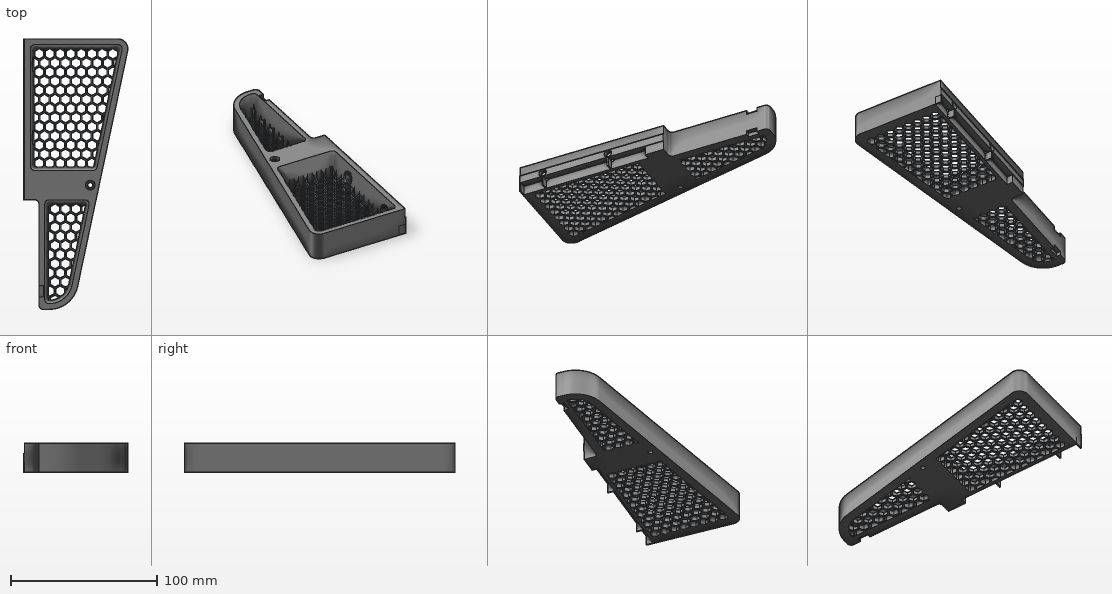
import cadquery as cq
import math

WIDTH = 71.37
LENGTH = 185.0
HEIGHT = 20.0

SIDE_STEP = 0.5
STEP_Y = 75.0
NECK_X = 10.5
SMALL_RADIUS = 3.0
NOSE_RADIUS = 20.0
REAR_RADIUS = 7.0
SLANT = math.radians(12)

RIM = 4.0
LEFT_RIM_X = 4.8
REAR_POCKET_Y = 95.0
FLOOR = 3.0
DRAFT = 12.0
POCKET_RADIUS = 3.0
FLOOR_RADIUS = 6.0
DRAFT_INSET = (HEIGHT - FLOOR) * math.tan(math.radians(DRAFT))

CELL_FLATS = 6.0
CELL_CORNER = CELL_FLATS / math.sqrt(3)
CELL_WALL = 1.2
CELL_MARGIN = 2.4
CELL_PITCH = CELL_FLATS + CELL_WALL
ROW_PITCH = CELL_PITCH * math.sqrt(3) / 2
CELL_ORIGIN = (17.9, 174.7)

BAND_BOTTOM = 7.0
BAND_TOP = 13.0
UNDERCUT_X = 5.0
UNDERCUT_FRONT_Y = 89.0
RIB_THICKNESS = 0.8

SIDE_HOLE_Y = (117.5, 167.5)
SIDE_HOLE_Z = (BAND_BOTTOM + BAND_TOP) / 2
SIDE_HOLE_DIAMETER = 5.5
SIDE_HEAD_DIAMETER = 10.0
SIDE_HEAD_X = 6.0
SIDE_HEAD_CLEARANCE = 3.0

SCREW_X = 45.6
SCREW_Y = 85.0
SCREW_DIAMETER = 3.4
HEAD_DIAMETER = 6.5
HEAD_DEPTH = 4.0

NOTCH_Y = (8.5, 16.5)
NOTCH_DEPTH = 3.2
NOTCH_HEIGHT = 3.0

REAR_CENTER = (WIDTH - REAR_RADIUS, LENGTH - REAR_RADIUS)


def slant_x(y, inset=0.0):
    """X of the right side at y, moved inward by inset."""
    reach = (REAR_RADIUS - inset) / math.cos(SLANT)
    return REAR_CENTER[0] + reach + (y - REAR_CENTER[1]) * math.tan(SLANT)


NOSE_CENTER = (slant_x(NOSE_RADIUS, NOSE_RADIUS), NOSE_RADIUS)


def polar(center, radius, angle):
    return (center[0] + radius * math.cos(angle), center[1] + radius * math.sin(angle))


def nose_arc(sketch, radius):
    """Adds the nose arc from the right side round to its lowest point."""
    middle = polar(NOSE_CENTER, radius, -(math.pi / 2 + SLANT) / 2)
    return sketch.threePointArc(middle, (NOSE_CENTER[0], NOSE_CENTER[1] - radius))


def make_body():
    sketch = (
        cq.Workplane()
        .moveTo(SIDE_STEP, STEP_Y)
        .lineTo(SIDE_STEP, LENGTH)
        .lineTo(REAR_CENTER[0], LENGTH)
        .threePointArc(
            polar(REAR_CENTER, REAR_RADIUS, (math.pi / 2 - SLANT) / 2),
            polar(REAR_CENTER, REAR_RADIUS, -SLANT),
        )
        .lineTo(*polar(NOSE_CENTER, NOSE_RADIUS, -SLANT))
    )
    body = (
        nose_arc(sketch, NOSE_RADIUS)
        .lineTo(NECK_X, 0)
        .lineTo(NECK_X, STEP_Y)
        .close()
        .extrude(HEIGHT)
    )
    corners = cq.selectors.BoxSelector(
        (NECK_X - 1, -1, 0), (NECK_X + 1, STEP_Y + 1, HEIGHT)
    )
    return body.edges("|Z").edges(corners).fillet(SMALL_RADIUS)


def rear_pocket_outline():
    rear_y = LENGTH - RIM
    return (
        cq.Workplane(origin=(0, 0, HEIGHT))
        .moveTo(LEFT_RIM_X, REAR_POCKET_Y)
        .lineTo(LEFT_RIM_X, rear_y)
        .lineTo(slant_x(rear_y, RIM), rear_y)
        .lineTo(slant_x(REAR_POCKET_Y, RIM), REAR_POCKET_Y)
        .close()
    )


def front_pocket_outline(left_x=NECK_X + RIM):
    radius = NOSE_RADIUS - RIM
    sketch = (
        cq.Workplane(origin=(0, 0, HEIGHT))
        .moveTo(left_x, STEP_Y)
        .lineTo(slant_x(STEP_Y, RIM), STEP_Y)
        .lineTo(*polar(NOSE_CENTER, radius, -SLANT))
    )
    return nose_arc(sketch, radius).lineTo(left_x, RIM).close()


def drafted(outline):
    """Solid from the rim down to the floor, narrowing by the draft."""
    return outline.extrude(FLOOR - HEIGHT, taper=DRAFT)


def with_round_corners(space, front_y, rear_y):
    """Rounds the upright corners at the front and rear ends of a drafted pocket."""
    low = FLOOR + 1
    high = HEIGHT - 1
    rear = cq.selectors.BoxSelector((0, rear_y - DRAFT_INSET, low), (WIDTH, rear_y, high))
    front = cq.selectors.BoxSelector((0, front_y, low), (WIDTH, front_y + DRAFT_INSET, high))
    return space.edges(rear + front).fillet(POCKET_RADIUS)


def with_round_floor(space):
    return space.faces("<Z").edges().fillet(FLOOR_RADIUS)


def rear_pocket():
    space = with_round_corners(drafted(rear_pocket_outline()), REAR_POCKET_Y, LENGTH - RIM)
    return space.intersect(with_round_floor(drafted(rear_pocket_outline())))


def front_pocket():
    """The left floor edge is rounded apart from the rest, since it nearly meets the nose arc."""
    space = with_round_corners(drafted(front_pocket_outline()), RIM, STEP_Y)
    nose_side = with_round_floor(drafted(front_pocket_outline(left_x=-WIDTH)))
    left_trough = (
        cq.Workplane(origin=(0, 0, HEIGHT))
        .moveTo(NECK_X + RIM, -LENGTH)
        .lineTo(2 * WIDTH, -LENGTH)
        .lineTo(2 * WIDTH, LENGTH)
        .lineTo(NECK_X + RIM, LENGTH)
        .close()
    )
    left_side = with_round_floor(drafted(left_trough))
    return space.intersect(nose_side).intersect(left_side)


def cell_centers(front_y, rear_y):
    """Centres of the staggered cells in the rows centred between front_y and rear_y."""
    first_row = math.ceil((front_y - CELL_ORIGIN[1]) / ROW_PITCH)
    last_row = math.floor((rear_y - CELL_ORIGIN[1]) / ROW_PITCH)
    first_column = -math.ceil(CELL_ORIGIN[0] / CELL_PITCH)
    last_column = math.ceil((WIDTH - CELL_ORIGIN[0]) / CELL_PITCH)
    for row in range(first_row, last_row + 1):
        stagger = row % 2 / 2
        for column in range(first_column, last_column + 1):
            x = CELL_ORIGIN[0] + (column + stagger) * CELL_PITCH
            yield (x, CELL_ORIGIN[1] + row * ROW_PITCH)


def floor_openings(outline, front_y, rear_y):
    """Honeycomb cells that open one pocket floor, trimmed along the foot of its walls."""
    cells = cq.Workplane()
    for center in cell_centers(front_y, rear_y - CELL_MARGIN):
        points = [polar(center, CELL_CORNER, math.radians(30 + 60 * i)) for i in range(6)]
        cells = cells.polyline(points).close()
    well = outline.offset2D(-CELL_MARGIN, "intersection").extrude(-HEIGHT)
    return cells.extrude(HEIGHT).intersect(well)


def box(x_range, y_range, z_range):
    corner = cq.Vector(x_range[0], y_range[0], z_range[0])
    size = cq.Vector(x_range[1], y_range[1], z_range[1]) - corner
    return cq.Workplane(obj=cq.Solid.makeBox(size.x, size.y, size.z, corner))


def raised_band():
    return box((0, SIDE_STEP), (STEP_Y, LENGTH), (BAND_BOTTOM, BAND_TOP))


def undercut():
    return box((0, UNDERCUT_X), (UNDERCUT_FRONT_Y, LENGTH), (0, BAND_BOTTOM))


def ribs():
    """Thin upright ribs across the undercut: one under each side hole and one at the rear end."""
    rib_centers = SIDE_HOLE_Y + (LENGTH - RIB_THICKNESS / 2,)
    half = RIB_THICKNESS / 2
    solids = [box((0, UNDERCUT_X), (y - half, y + half), (0, BAND_BOTTOM)) for y in rib_centers]
    return solids[0].union(solids[1]).union(solids[2])


def side_hole(y):
    """Hole through the long left wall, countersunk from the pocket."""
    start = cq.Vector(0, y, SIDE_HOLE_Z)
    along = cq.Vector(1, 0, 0)
    radius = SIDE_HOLE_DIAMETER / 2
    head_radius = SIDE_HEAD_DIAMETER / 2
    cone_length = head_radius - radius
    shank = cq.Solid.makeCylinder(radius, SIDE_HEAD_X, start, along)
    cone_start = start + along * (SIDE_HEAD_X - cone_length)
    cone = cq.Solid.makeCone(radius, head_radius, cone_length, cone_start, along)
    head = cq.Solid.makeCylinder(head_radius, SIDE_HEAD_CLEARANCE, start + along * SIDE_HEAD_X, along)
    return cq.Workplane(obj=shank).union(cq.Workplane(obj=cone)).union(cq.Workplane(obj=head))


def screw_hole():
    return (
        cq.Workplane(origin=(SCREW_X, SCREW_Y, HEIGHT))
        .circle(SCREW_DIAMETER / 2)
        .extrude(-HEIGHT)
        .faces(">Z")
        .workplane()
        .circle(HEAD_DIAMETER / 2)
        .extrude(-HEAD_DEPTH)
    )


def notches():
    """Cuts across the upper and lower edges of the front left wall."""
    x_range = (NECK_X, NECK_X + NOTCH_DEPTH)
    lower = box(x_range, NOTCH_Y, (0, NOTCH_HEIGHT))
    return lower.union(lower.translate((0, 0, HEIGHT - NOTCH_HEIGHT)))


def make_part():
    part = make_body().cut(undercut())
    part = part.union(raised_band()).union(ribs())
    part = part.cut(rear_pocket()).cut(front_pocket())
    part = part.cut(floor_openings(rear_pocket_outline(), REAR_POCKET_Y, LENGTH - RIM))
    part = part.cut(floor_openings(front_pocket_outline(), RIM, STEP_Y))
    for y in SIDE_HOLE_Y:
        part = part.cut(side_hole(y))
    return part.cut(screw_hole()).cut(notches())


result = make_part()